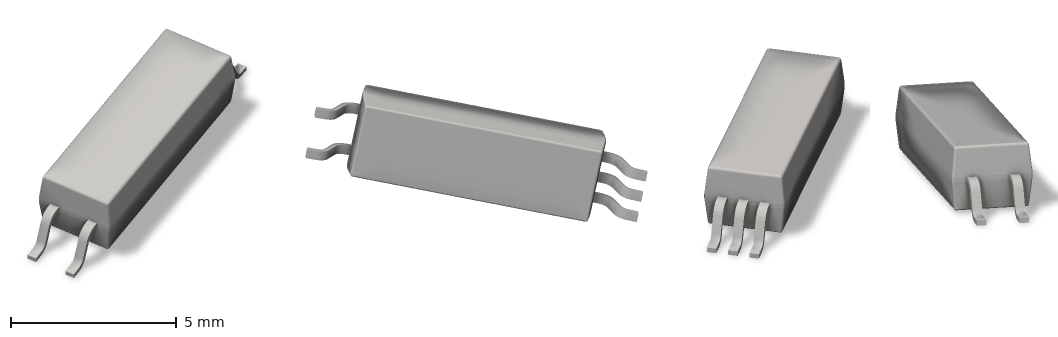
import cadquery as cq
import math

HOUSING_WIDTH = 2.5
HOUSING_LENGTH = 7.5
HOUSING_HEIGHT = 2.0
STANDOFF = 0.1
DRAFT_ANGLE = 6.0
CORNER_RADIUS = 0.066
TOP_EDGE_RADIUS = 0.09
BOTTOM_EDGE_RADIUS = 0.066

LEAD_SPAN = 10.2
LEAD_WIDTH = 0.3
LEAD_THICKNESS = 0.15
LEAD_PITCH = 0.66
SHOULDER_LENGTH = 0.12
SHOULDER_OUTER_RADIUS = 0.51
FOOT_INNER_RADIUS = 0.25
LEG_ANGLE = 67.0
FOOT_ANGLE = 4.0
FRONT_LEAD_COLUMNS = (-1, 1)
BACK_LEAD_COLUMNS = (-1, 0, 1)

MARKER_DIAMETER = 0.51
MARKER_DEPTH = 0.05
MARKER_X = -0.59
MARKER_Y = -3.08

HOUSING_TOP = STANDOFF + HOUSING_HEIGHT
BAND_MIDDLE = STANDOFF + HOUSING_HEIGHT / 2
BAND_TOP = BAND_MIDDLE + LEAD_THICKNESS / 2
BAND_BOTTOM = BAND_MIDDLE - LEAD_THICKNESS / 2


def make_marker():
    """Thin disc whose upper face is level with the housing top."""
    return (
        cq.Workplane("XY", origin=(MARKER_X, MARKER_Y, HOUSING_TOP - MARKER_DEPTH))
        .circle(MARKER_DIAMETER / 2)
        .extrude(MARKER_DEPTH)
    )


def housing_layer(base_z, height, draft=0.0):
    """Full-size rectangle at base_z, extruded up or down and narrowing with the draft angle."""
    return (
        cq.Workplane("XY", origin=(0, 0, base_z))
        .rect(HOUSING_WIDTH, HOUSING_LENGTH)
        .extrude(height, taper=draft)
    )


def make_housing(marker):
    """Parting band between two drafted halves, with rounded edges and a recess for the marker."""
    band = housing_layer(BAND_BOTTOM, LEAD_THICKNESS)
    upper = housing_layer(BAND_TOP, HOUSING_TOP - BAND_TOP, DRAFT_ANGLE)
    lower = housing_layer(BAND_BOTTOM, STANDOFF - BAND_BOTTOM, DRAFT_ANGLE)
    body = band.union(upper).union(lower)
    body = body.edges("not(#Z)").fillet(CORNER_RADIUS)
    body = body.faces(">Z").edges().fillet(TOP_EDGE_RADIUS)
    body = body.faces("<Z").edges().fillet(BOTTOM_EDGE_RADIUS)
    return body.cut(marker)


def polar_point(center, radius, angle):
    """Point at the given radius from center, with angle in degrees from +Z towards +Y."""
    turn = math.radians(angle)
    return (center[0] + radius * math.sin(turn), center[1] + radius * math.cos(turn))


def lead_profile():
    """Side outline of a +Y lead in the YZ plane: shoulder, bend, sloping leg, bend and foot."""
    face_y = HOUSING_LENGTH / 2
    toe_y = LEAD_SPAN / 2
    shoulder_inner_radius = SHOULDER_OUTER_RADIUS - LEAD_THICKNESS
    foot_outer_radius = FOOT_INNER_RADIUS + LEAD_THICKNESS
    leg_cos = math.cos(math.radians(LEG_ANGLE))
    leg_sin = math.sin(math.radians(LEG_ANGLE))
    foot_cos = math.cos(math.radians(FOOT_ANGLE))
    foot_slope = math.tan(math.radians(FOOT_ANGLE))

    shoulder_center = (face_y + SHOULDER_LENGTH, BAND_TOP - SHOULDER_OUTER_RADIUS)

    near_y, near_z = polar_point(shoulder_center, SHOULDER_OUTER_RADIUS + FOOT_INNER_RADIUS, LEG_ANGLE)
    near_toe_height = near_z - foot_outer_radius / foot_cos - (toe_y - near_y) * foot_slope
    leg_length = near_toe_height / (leg_sin - leg_cos * foot_slope)
    foot_center = (near_y + leg_length * leg_cos, near_z - leg_length * leg_sin)

    mid_shoulder = LEG_ANGLE / 2
    mid_foot = (LEG_ANGLE + FOOT_ANGLE) / 2
    toe_height = LEAD_THICKNESS / foot_cos

    return (
        cq.Workplane("YZ", origin=(-LEAD_WIDTH / 2, 0, 0))
        .moveTo(face_y, BAND_TOP)
        .lineTo(shoulder_center[0], BAND_TOP)
        .threePointArc(
            polar_point(shoulder_center, SHOULDER_OUTER_RADIUS, mid_shoulder),
            polar_point(shoulder_center, SHOULDER_OUTER_RADIUS, LEG_ANGLE),
        )
        .lineTo(*polar_point(foot_center, -FOOT_INNER_RADIUS, LEG_ANGLE))
        .threePointArc(
            polar_point(foot_center, -FOOT_INNER_RADIUS, mid_foot),
            polar_point(foot_center, -FOOT_INNER_RADIUS, FOOT_ANGLE),
        )
        .lineTo(toe_y, toe_height)
        .lineTo(toe_y, 0)
        .lineTo(*polar_point(foot_center, -foot_outer_radius, FOOT_ANGLE))
        .threePointArc(
            polar_point(foot_center, -foot_outer_radius, mid_foot),
            polar_point(foot_center, -foot_outer_radius, LEG_ANGLE),
        )
        .lineTo(*polar_point(shoulder_center, shoulder_inner_radius, LEG_ANGLE))
        .threePointArc(
            polar_point(shoulder_center, shoulder_inner_radius, mid_shoulder),
            (shoulder_center[0], BAND_BOTTOM),
        )
        .lineTo(face_y, BAND_BOTTOM)
        .close()
    )


def make_lead(column, turn):
    """One lead on the given column, turned about Z: 0 degrees for +Y, 180 degrees for -Y."""
    lead = lead_profile().extrude(LEAD_WIDTH).rotate((0, 0, 0), (0, 0, 1), turn)
    return lead.translate((column * LEAD_PITCH, 0, 0))


marker = make_marker()
housing = make_housing(marker)

leads = []
for column in BACK_LEAD_COLUMNS:
    leads.append(make_lead(column, 0))
for column in FRONT_LEAD_COLUMNS:
    leads.append(make_lead(column, 180))

result = cq.Compound.makeCompound([housing.val(), marker.val(), *[lead.val() for lead in leads]])